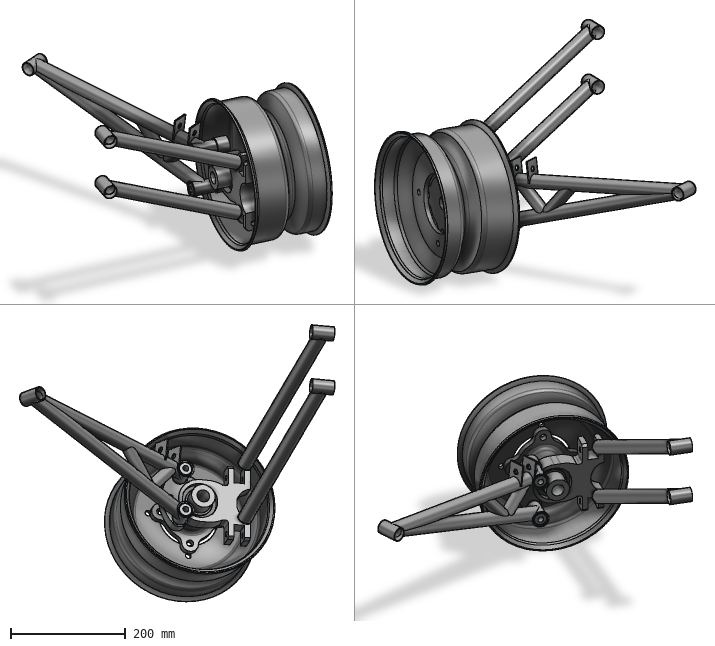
import cadquery as cq
import math

UP = cq.Vector(0, 0, 1)

rim_width = 145.5
barrel_radius = 255.5 / 2
barrel_inner_radius = 249.0 / 2
flange_tip_radius = 135.5
flange_tip_depth = 3.0
flange_edge_radius = 134.5
flange_lip_radius = 132.5
flange_throat_radius = 126.5
flange_throat_depth = 6.0
flange_seat_depth = 10.0
front_flange_width = 9.0
rear_flange_width = 7.5
wheel_window_radius = 53.5
disc_front = 82.0
disc_back = 91.0
disc_flat_radius = 95.5
wheel_hole_diameter = 10.0
wheel_hole_circle = 72.5

bolt_circle = 54.0
lobe_radius = 15.0
star_radius = 48.0
lobe_root_fillet = 16
star_front = 69.5
hub_diameter = 63.0
hub_front = 11.5
hub_fillet = 8.0
lobe_hole_diameter = 12.0
shoulder_diameter = 49.0
shoulder_front = 7.0
spindle_diameter = 42.0
spindle_front = -22.5
spindle_bore = 22.0

upright_depth = 30.0
upright_half_height = bolt_circle - lobe_radius
upright_right = 90.0
ear_width = 10.0
ear_left = 51.0
ear_top = 69.5
ear_bottom = -66.0
ear_chamfer = 5.0
ear_hole_diameter = 9.0
ear_hole_height = 52.5
notch_radius = 30.0
notch_center = 96.0
shoulder_start = 11.5
shoulder_middle = (28.0, 37.0)
waist_start = 41.0
waist_height = 32.5
ear_root_fillet = 5.0

mount_front = -2.5
mount_depth = 22.5
mount_hole_diameter = 9.5

tube_diameter = 25.5
tube_bore = 22.0
sleeve_bore = 23.0
sleeve_length = 39.5
brace_diameter = 22.0
boss_front = -47.0
bushing_hole = 10.0
flange_diameter = 30.0
flange_thickness = 1.5
boss_offset = bolt_circle * math.sin(math.radians(45))
boss_middle = (mount_front + boss_front) / 2
arm_angle = 30
arm_reach = 365.0
arm_sleeve_height = 82.5
brace_foot = 0.78
brace_heads = (0.625, 0.93)
tab_places = (0.85, 0.938)
tab_width = 29.5
tab_height = 39.5
tab_thickness = 2.5
tab_hole_diameter = 9.5
tab_hole_height = 22.5

link_sleeve_center = cq.Vector(145.5, -289.0, 219.0)
link_tip = cq.Vector(76.5, -11.0, 68.5)
link_spacing = 100.5


def rod(start, end, diameter):
    """Solid round bar between two points."""
    axis = end - start
    return cq.Workplane(cq.Solid.makeCylinder(diameter / 2, axis.Length, start, axis))


def y_rod(x, z, diameter, front, back):
    """Round bar parallel to the wheel axis."""
    return rod(cq.Vector(x, front, z), cq.Vector(x, back, z), diameter)


def y_plate(front):
    """Workplane at a given Y whose sketches use (X, Z) and extrude by negative distances toward +Y."""
    return cq.Workplane("XZ", origin=(0, front, 0))


def y_rod_ring(radius, count, diameter, front, back):
    """Round bars spaced evenly about the wheel axis."""
    return y_plate(front).polarArray(radius, 0, 360, count).circle(diameter / 2).extrude(front - back)


def make_wheel():
    profile = (
        cq.Workplane("XY")
        .moveTo(flange_edge_radius, 0)
        .lineTo(flange_tip_radius, flange_tip_depth)
        .lineTo(barrel_radius, front_flange_width)
        .lineTo(barrel_radius, 60.5)
        .threePointArc((126.1, 65.5), (122.5, 68.5))
        .threePointArc((110.0, 74.0), (104.0, 83.0))
        .lineTo(100.5, 89.5)
        .lineTo(124.0, 105.0)
        .threePointArc((127.0, 108.0), (barrel_radius, 112.0))
        .lineTo(barrel_radius, rim_width - rear_flange_width)
        .lineTo(flange_tip_radius, rim_width - flange_tip_depth)
        .lineTo(flange_edge_radius, rim_width)
        .lineTo(flange_lip_radius, rim_width)
        .lineTo(flange_throat_radius, rim_width - flange_throat_depth)
        .lineTo(barrel_inner_radius, rim_width - flange_seat_depth)
        .lineTo(barrel_inner_radius, 112.5)
        .lineTo(122.0, 107.0)
        .lineTo(96.0, disc_back)
        .lineTo(wheel_window_radius, disc_back)
        .lineTo(wheel_window_radius, disc_front)
        .lineTo(disc_flat_radius, disc_front)
        .threePointArc((98.5, 81.5), (100.0, 80.0))
        .threePointArc((107.5, 71.5), (120.5, 66.0))
        .threePointArc((123.0, 64.0), (barrel_inner_radius, 60.0))
        .lineTo(barrel_inner_radius, flange_seat_depth)
        .lineTo(flange_throat_radius, flange_throat_depth)
        .lineTo(flange_lip_radius, 0)
        .close()
    )
    wheel = profile.revolve(360, (0, 0, 0), (0, 1, 0))
    return wheel.cut(y_rod_ring(wheel_hole_circle, 4, wheel_hole_diameter, disc_front, disc_back))


def make_hub():
    star = y_rod(0, 0, 2 * star_radius, star_front, disc_front)
    star = star.union(y_rod_ring(bolt_circle, 4, 2 * lobe_radius, star_front, disc_front))
    star = star.edges("|Y").fillet(lobe_root_fillet)
    star = star.cut(y_rod_ring(bolt_circle, 4, lobe_hole_diameter, star_front, disc_front))
    radius = hub_diameter / 2
    profile = (
        cq.Workplane("XY")
        .moveTo(spindle_bore / 2, spindle_front)
        .lineTo(spindle_diameter / 2, spindle_front)
        .lineTo(spindle_diameter / 2, shoulder_front)
        .lineTo(shoulder_diameter / 2, shoulder_front)
        .lineTo(shoulder_diameter / 2, hub_front)
        .lineTo(radius, hub_front)
        .lineTo(radius, star_front - hub_fillet)
        .radiusArc((radius + hub_fillet, star_front), hub_fillet)
        .lineTo(radius + hub_fillet, disc_front)
        .lineTo(spindle_bore / 2, disc_front)
        .close()
    )
    core = profile.revolve(360, (0, 0, 0), (0, 1, 0))
    return star.union(core).cut(y_rod(0, 0, spindle_bore, spindle_front, disc_front))


def make_upright():
    half = upright_half_height
    outline = (
        y_plate(0)
        .moveTo(0, half)
        .lineTo(shoulder_start, half)
        .threePointArc(shoulder_middle, (waist_start, waist_height))
        .lineTo(ear_left, waist_height)
        .lineTo(ear_left, ear_top)
        .lineTo(upright_right, ear_top)
        .lineTo(upright_right, ear_bottom)
        .lineTo(ear_left, ear_bottom)
        .lineTo(ear_left, -waist_height)
        .lineTo(waist_start, -waist_height)
        .threePointArc((shoulder_middle[0], -shoulder_middle[1]), (shoulder_start, -half))
        .lineTo(0, -half)
        .threePointArc((-half, 0), (0, half))
        .close()
    )
    upright = outline.extrude(-upright_depth)
    for side in (1, -1):
        corner = cq.selectors.NearestToPointSelector((ear_left, upright_depth / 2, side * waist_height))
        upright = upright.edges(corner).fillet(ear_root_fillet)
    upright = upright.faces("<Y").edges(">Z or <Z").chamfer(ear_chamfer)

    slot_width = upright_right - ear_left - 2 * ear_width
    slot_height = ear_top - half
    slot_center = (ear_left + upright_right) / 2
    for side in (1, -1):
        slot = (
            y_plate(0)
            .center(slot_center, side * (half + slot_height / 2))
            .rect(slot_width, slot_height)
            .extrude(-upright_depth)
        )
        hole = rod(
            cq.Vector(ear_left, upright_depth / 2, side * ear_hole_height),
            cq.Vector(upright_right, upright_depth / 2, side * ear_hole_height),
            ear_hole_diameter,
        )
        upright = upright.cut(slot).cut(hole)
    notch = y_rod(notch_center, 0, 2 * notch_radius, 0, upright_depth)
    return upright.cut(notch).cut(y_rod(0, 0, hub_diameter, 0, upright_depth))


def make_mount():
    back = mount_front + mount_depth
    ring = y_rod(0, 0, 2 * (bolt_circle + lobe_radius), mount_front, back)
    quarter = (
        y_plate(mount_front)
        .polyline([(0, 0), (-2 * bolt_circle, 2 * bolt_circle), (-2 * bolt_circle, -2 * bolt_circle)])
        .close()
        .extrude(-mount_depth)
    )
    mount = ring.intersect(quarter)
    for side in (1, -1):
        mount = mount.union(y_rod(-boss_offset, side * boss_offset, 2 * lobe_radius, mount_front, back))
    mount = mount.cut(y_rod(0, 0, 2 * upright_half_height, mount_front, back))
    for side in (1, -1):
        mount = mount.cut(y_rod(-boss_offset, side * boss_offset, bushing_hole, mount_front, back))
    return mount.cut(y_rod(-bolt_circle, 0, mount_hole_diameter, mount_front, back))


def make_bushing(side):
    x, z = -boss_offset, side * boss_offset
    bushing = y_rod(x, z, tube_bore, boss_front, mount_front)
    bushing = bushing.union(y_rod(x, z, flange_diameter, boss_front - flange_thickness, boss_front))
    return bushing.cut(y_rod(x, z, bushing_hole, boss_front - flange_thickness, mount_front))


def along(start, end, fraction):
    return start + (end - start) * fraction


def make_tab(center, tube_axis):
    """Drilled plate square to the upper arm tube, standing up from the tube's axis."""
    sideways = UP.cross(tube_axis)
    plane = cq.Plane(origin=center, xDir=sideways, normal=tube_axis)
    return (
        cq.Workplane(plane)
        .center(0, tab_height / 2)
        .rect(tab_width, tab_height)
        .extrude(tab_thickness / 2, both=True)
        .cut(
            cq.Workplane(plane)
            .center(0, tab_hole_height)
            .circle(tab_hole_diameter / 2)
            .extrude(tab_thickness, both=True)
        )
    )


def make_arm():
    angle = math.radians(arm_angle)
    sleeve_center = cq.Vector(
        -boss_offset - arm_reach * math.cos(angle),
        boss_middle - arm_reach * math.sin(angle),
        arm_sleeve_height,
    )
    half_sleeve = cq.Vector(math.sin(angle), -math.cos(angle), 0) * (sleeve_length / 2)
    upper_boss = cq.Vector(-boss_offset, boss_middle, boss_offset)
    lower_boss = cq.Vector(-boss_offset, boss_middle, -boss_offset)

    arm = rod(sleeve_center - half_sleeve, sleeve_center + half_sleeve, tube_diameter)
    for boss in (upper_boss, lower_boss):
        arm = arm.union(rod(sleeve_center, boss, tube_diameter))
        arm = arm.union(y_rod(boss.x, boss.z, tube_diameter, boss_front, mount_front))
    foot = along(sleeve_center, lower_boss, brace_foot)
    for head in brace_heads:
        arm = arm.union(rod(foot, along(sleeve_center, upper_boss, head), brace_diameter))
    for place in tab_places:
        arm = arm.union(make_tab(along(sleeve_center, upper_boss, place), upper_boss - sleeve_center))

    arm = arm.cut(rod(sleeve_center - half_sleeve, sleeve_center + half_sleeve, tube_bore))
    for boss in (upper_boss, lower_boss):
        arm = arm.cut(y_rod(boss.x, boss.z, tube_bore, boss_front, mount_front))
    return arm


def make_link(drop):
    shift = cq.Vector(0, 0, -drop)
    center = link_sleeve_center + shift
    tip = link_tip + shift
    half_sleeve = cq.Vector(sleeve_length / 2, 0, 0)
    tube = rod(tip, center, tube_diameter).cut(rod(tip, center, tube_bore))
    sleeve = rod(center - half_sleeve, center + half_sleeve, tube_diameter)
    bore = rod(center - half_sleeve, center + half_sleeve, sleeve_bore)
    return tube.union(sleeve).cut(bore)


wheel = make_wheel()
hub = make_hub()
upright = make_upright()
mount = make_mount()
arm = make_arm()
bushings = [make_bushing(side) for side in (1, -1)]
links = [make_link(drop) for drop in (0, link_spacing)]

result = cq.Compound.makeCompound(
    [
        wheel.val(),
        hub.val(),
        upright.val(),
        mount.val(),
        arm.val(),
        *[bushing.val() for bushing in bushings],
        *[link.val() for link in links],
    ]
)